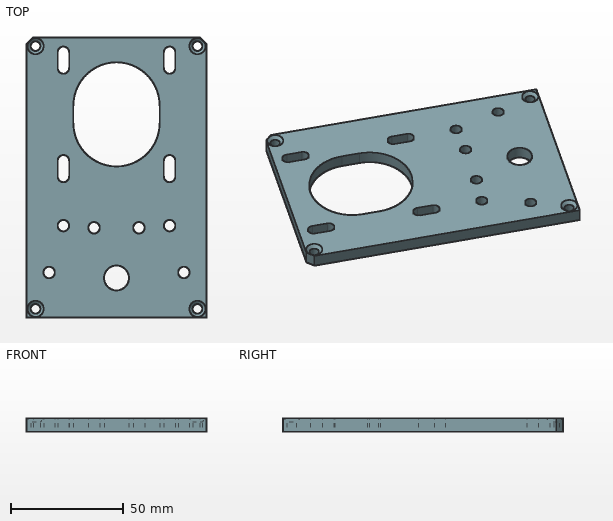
import cadquery as cq

PLATE_WIDTH = 80.2
PLATE_LENGTH = 124.8
PLATE_THICKNESS = 6.1
CORNER_CHAMFER = 3.0

SCREW_SPACING_X = 72.1
SCREW_SPACING_Y = 117.0
SCREW_DIAMETER = 4.2
COUNTERSINK_DIAMETER = 7.2
COUNTERSINK_ANGLE = 90.0

MOTOR_Y = 28.1
MOTOR_TRAVEL = 8.0
PILOT_DIAMETER = 38.3
MOTOR_SLOT_SPACING_X = 47.3
MOTOR_SLOT_SPACING_Y = 48.3
MOTOR_SLOT_WIDTH = 5.0
MOTOR_SLOT_LENGTH = 12.0

SHAFT_Y = -44.75
SHAFT_DIAMETER = 11.0
BOLT_DIAMETER = 5.0
BOLT_POSITIONS = [
    (MOTOR_SLOT_SPACING_X / 2, -21.45),
    (10.0, -22.4),
    (30.0, -42.3),
]


def make_plate():
    plate = cq.Workplane("XY").box(
        PLATE_WIDTH, PLATE_LENGTH, PLATE_THICKNESS, centered=(True, True, False)
    )
    return plate.edges("|Z and >Y").chamfer(CORNER_CHAMFER)


def top_plane(plate):
    return plate.faces(">Z").workplane(origin=(0, 0, PLATE_THICKNESS))


def cut_corner_holes(plate):
    return (
        top_plane(plate)
        .rect(SCREW_SPACING_X, SCREW_SPACING_Y, forConstruction=True)
        .vertices()
        .cskHole(SCREW_DIAMETER, COUNTERSINK_DIAMETER, COUNTERSINK_ANGLE)
    )


def cut_motor_mount(plate):
    plate = (
        top_plane(plate)
        .center(0, MOTOR_Y)
        .slot2D(PILOT_DIAMETER + MOTOR_TRAVEL, PILOT_DIAMETER, 90)
        .cutThruAll()
    )
    return (
        top_plane(plate)
        .center(0, MOTOR_Y)
        .rect(MOTOR_SLOT_SPACING_X, MOTOR_SLOT_SPACING_Y, forConstruction=True)
        .vertices()
        .slot2D(MOTOR_SLOT_LENGTH, MOTOR_SLOT_WIDTH, 90)
        .cutThruAll()
    )


def cut_round_holes(plate):
    plate = top_plane(plate).center(0, SHAFT_Y).hole(SHAFT_DIAMETER)
    bolt_centres = [(side * x, y) for x, y in BOLT_POSITIONS for side in (-1, 1)]
    return top_plane(plate).pushPoints(bolt_centres).hole(BOLT_DIAMETER)


result = cut_round_holes(cut_motor_mount(cut_corner_holes(make_plate())))